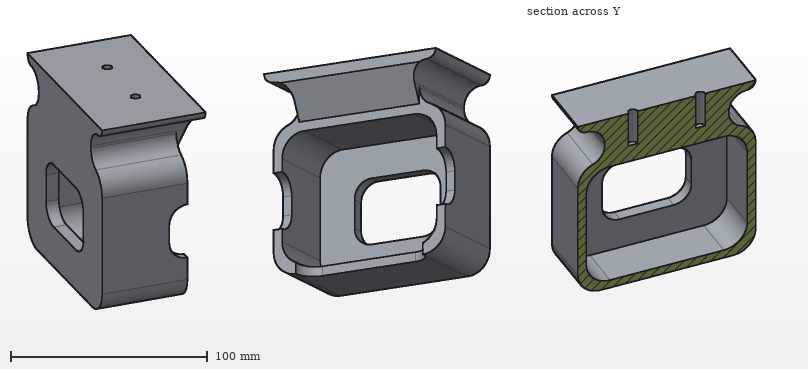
import cadquery as cq
import math

WIDTH = 100.0
HEIGHT = 105.0
BODY_DEPTH = 47.0
TOP_DEPTH = 57.0
CORNER_RADIUS = 13.0

LIP_RADIUS = 5.0
GROOVE_RADIUS = 10.0
GROOVE_FLAT = 1.4

OVERHANG_EDGE = 6.0
OVERHANG_HEIGHT = 25.0

FRONT_WALL = 7.0
OPENING_WIDTH = 50.0
OPENING_HEIGHT = 35.0
OPENING_RADIUS = 10.0
OPENING_CENTRE_Z = 40.0
WALL = 5.0
CAVITY_RADIUS = 13.0

SLOT_DEPTH = 10.0
SLOT_RADIUS = 10.0
SIDE_SLOT_HEIGHT = 30.0

HOLE_DIAMETER = 5.0
HOLE_SPACING = 37.8
HOLE_Y = 31.2
HOLE_DEPTH = 20.0

half_width = WIDTH / 2
groove_x = half_width - LIP_RADIUS
neck_x = groove_x - GROOVE_RADIUS
groove_top_z = HEIGHT - LIP_RADIUS
upper_centre_z = groove_top_z - GROOVE_RADIUS
lower_centre_z = upper_centre_z - GROOVE_FLAT
diagonal = math.sqrt(0.5)
slot_floor_y = BODY_DEPTH - SLOT_DEPTH
base_slot_width = WIDTH - 2 * CORNER_RADIUS
cavity_width = WIDTH - 2 * WALL
cavity_height = 2 * (OPENING_CENTRE_Z - WALL)


def arc_point(x, z, radius, angle):
    """Point at the given angle on a circle in the XZ plane."""
    return (x + radius * math.cos(angle), z + radius * math.sin(angle))


def lip_and_groove_top(outline):
    """Add the right lip and upper groove arc, from the top edge to the neck."""
    return (
        outline
        .threePointArc(
            (groove_x + LIP_RADIUS * diagonal, HEIGHT - LIP_RADIUS * diagonal),
            (groove_x, groove_top_z),
        )
        .threePointArc(
            (groove_x - GROOVE_RADIUS * diagonal, upper_centre_z + GROOVE_RADIUS * diagonal),
            (neck_x, upper_centre_z),
        )
    )


def half_outline():
    return cq.Workplane("XZ").moveTo(0, HEIGHT).lineTo(half_width, HEIGHT)


def both_sides(half):
    return half.union(half.mirror("YZ"))


def make_body():
    shoulder_x = half_width - CORNER_RADIUS
    centre_distance = GROOVE_RADIUS + CORNER_RADIUS
    centre_drop = math.sqrt(centre_distance**2 - (groove_x - shoulder_x) ** 2)
    shoulder_z = lower_centre_z - centre_drop
    join_angle = math.atan2(centre_drop, groove_x - shoulder_x)
    groove_end_angle = join_angle + math.pi
    groove_mid_angle = (math.pi + groove_end_angle) / 2

    half = (
        lip_and_groove_top(half_outline())
        .lineTo(neck_x, lower_centre_z)
        .threePointArc(
            arc_point(groove_x, lower_centre_z, GROOVE_RADIUS, groove_mid_angle),
            arc_point(shoulder_x, shoulder_z, CORNER_RADIUS, join_angle),
        )
        .threePointArc(
            arc_point(shoulder_x, shoulder_z, CORNER_RADIUS, join_angle / 2),
            (half_width, shoulder_z),
        )
        .lineTo(half_width, CORNER_RADIUS)
        .threePointArc(
            arc_point(shoulder_x, CORNER_RADIUS, CORNER_RADIUS, -math.pi / 4),
            (shoulder_x, 0),
        )
        .lineTo(0, 0)
        .close()
        .extrude(-BODY_DEPTH)
    )
    return both_sides(half)


def make_overhang():
    """Rear extension of the neck and lips, trimmed by a sloped underside."""
    bottom_z = HEIGHT - OVERHANG_HEIGHT
    half = (
        lip_and_groove_top(half_outline())
        .lineTo(neck_x, bottom_z)
        .lineTo(0, bottom_z)
        .close()
        .extrude(-TOP_DEPTH)
    )
    wedge = (
        cq.Workplane("YZ")
        .moveTo(BODY_DEPTH, HEIGHT)
        .lineTo(TOP_DEPTH, HEIGHT)
        .lineTo(TOP_DEPTH, HEIGHT - OVERHANG_EDGE)
        .lineTo(BODY_DEPTH, bottom_z)
        .close()
        .extrude(half_width, both=True)
    )
    return both_sides(half).intersect(wedge)


def rounded_passage(width, height, radius, start_y):
    """Rounded rectangular passage centred on the opening, from start_y to the rear face."""
    length = BODY_DEPTH - start_y
    return (
        cq.Workplane("XY")
        .box(width, length, height)
        .edges("|Y")
        .fillet(radius)
        .translate((0, start_y + length / 2, OPENING_CENTRE_Z))
    )


def make_opening():
    return rounded_passage(OPENING_WIDTH, OPENING_HEIGHT, OPENING_RADIUS, 0)


def make_cavity():
    return rounded_passage(cavity_width, cavity_height, CAVITY_RADIUS, FRONT_WALL)


def slot_cutter(size_x, size_z, centre_z, rounded_edges):
    """Block with rounded floor corners, reaching SLOT_DEPTH in from the rear face."""
    return (
        cq.Workplane("XY")
        .box(size_x, BODY_DEPTH, size_z)
        .edges(rounded_edges)
        .fillet(SLOT_RADIUS)
        .translate((0, slot_floor_y + BODY_DEPTH / 2, centre_z))
    )


def make_side_slot():
    return slot_cutter(WIDTH, SIDE_SLOT_HEIGHT, OPENING_CENTRE_Z, "|X")


def make_base_slot():
    return slot_cutter(base_slot_width, OPENING_CENTRE_Z, OPENING_CENTRE_Z / 2, "|Z")


def make_mounting_holes():
    return (
        cq.Workplane("XY", origin=(0, HOLE_Y, HEIGHT))
        .pushPoints([(-HOLE_SPACING / 2, 0), (HOLE_SPACING / 2, 0)])
        .circle(HOLE_DIAMETER / 2)
        .extrude(-HOLE_DEPTH)
    )


result = (
    make_body()
    .union(make_overhang())
    .cut(make_opening())
    .cut(make_cavity())
    .cut(make_side_slot())
    .cut(make_base_slot())
    .cut(make_mounting_holes())
)